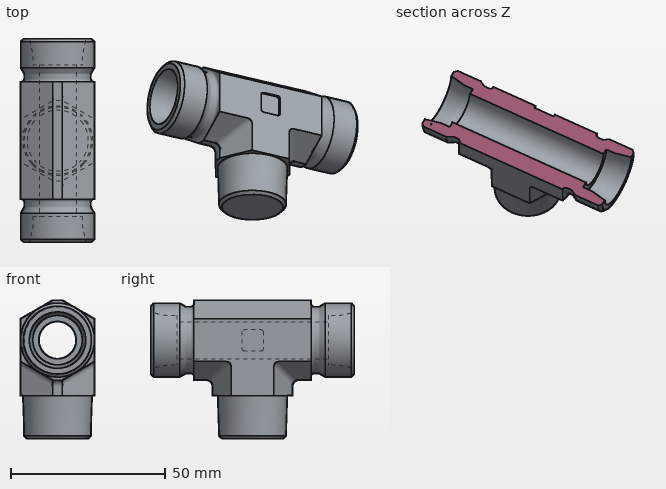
import cadquery as cq
import math

HEX_FLATS = 24.0
CORNER_FLAT = 3.0
RUN_LENGTH = 38.0
BRANCH_BODY_DEPTH = 18.0
CROTCH_RADIUS = 2.0
TOLERANCE = 1e-6

TIP_Y = 33.0
THREAD_DIAMETER = 24.0
THREAD_LENGTH = 9.4
EDGE_CHAMFER = 1.0
UNDERCUT_DIAMETER = 21.7
RUNOUT_ANGLE = 30.0
RUNOUT_RADIUS = 0.8
SHOULDER_RADIUS = 1.0

BORE_DIAMETER = 12.0
SOCKET_DIAMETER = 16.0
SOCKET_DEPTH = 8.5
MOUTH_DIAMETER = 18.3
MOUTH_HALF_ANGLE = 12.0

STUD_TIP_DEPTH = 32.0
STUD_TOP_DIAMETER = 22.6
STUD_TAPER = 1 / 16

RECESS_SIZE = 7.0
RECESS_CORNER_RADIUS = 1.0
RECESS_DEPTH = 0.8

HEX_TILT = math.radians(30)
half_flats = HEX_FLATS / 2
half_corner_flat = CORNER_FLAT / 2
side_edge = (half_flats - half_flats * math.sin(HEX_TILT)) / math.cos(HEX_TILT)
corner_height = (half_flats - half_corner_flat * math.sin(HEX_TILT)) / math.cos(HEX_TILT)


def hex_section(plane):
    """Hexagon with flats at +/-X and its two remaining corners truncated."""
    return cq.Workplane(plane).polyline([
        (half_flats, -side_edge),
        (half_flats, side_edge),
        (half_corner_flat, corner_height),
        (-half_corner_flat, corner_height),
        (-half_flats, side_edge),
        (-half_flats, -side_edge),
        (-half_corner_flat, -corner_height),
        (half_corner_flat, -corner_height),
    ]).close()


def on_mitre_plane(point):
    """True below the run axis where the run and branch sections cross at 45 degrees."""
    return abs(abs(point.y) + point.z) < TOLERANCE


def make_body():
    run = hex_section("XZ").extrude(RUN_LENGTH / 2, both=True)
    branch = hex_section("XY").extrude(-BRANCH_BODY_DEPTH)
    body = run.union(branch)
    crotch_edges = [
        edge for edge in body.edges().vals()
        if on_mitre_plane(edge.startPoint()) and on_mitre_plane(edge.endPoint())
    ]
    return body.newObject(crotch_edges).fillet(CROTCH_RADIUS)


def make_run_end():
    """Threaded end on the +Y side, with its run-out and undercut."""
    shoulder_y = RUN_LENGTH / 2
    thread_radius = THREAD_DIAMETER / 2
    undercut_radius = UNDERCUT_DIAMETER / 2
    slope = math.radians(RUNOUT_ANGLE)
    runout_start = TIP_Y - THREAD_LENGTH
    runout_end = runout_start - (thread_radius - undercut_radius) / math.tan(slope)
    tangent = RUNOUT_RADIUS * math.tan(slope / 2)
    arc_start = (undercut_radius, runout_end - tangent)
    arc_end = (undercut_radius + tangent * math.sin(slope), runout_end + tangent * math.cos(slope))
    return (
        cq.Workplane("XY")
        .moveTo(0, shoulder_y)
        .lineTo(undercut_radius + SHOULDER_RADIUS, shoulder_y)
        .radiusArc((undercut_radius, shoulder_y + SHOULDER_RADIUS), SHOULDER_RADIUS)
        .lineTo(*arc_start)
        .radiusArc(arc_end, RUNOUT_RADIUS)
        .lineTo(thread_radius, runout_start)
        .lineTo(thread_radius, TIP_Y - EDGE_CHAMFER)
        .lineTo(thread_radius - EDGE_CHAMFER, TIP_Y)
        .lineTo(0, TIP_Y)
        .close()
        .revolve(360, (0, 0), (0, 1))
    )


def make_run_cavity():
    """Bore from the centre to the +Y tip, widening into the tube socket."""
    bore_radius = BORE_DIAMETER / 2
    socket_radius = SOCKET_DIAMETER / 2
    mouth_radius = MOUTH_DIAMETER / 2
    cone_depth = (mouth_radius - socket_radius) / math.tan(math.radians(MOUTH_HALF_ANGLE))
    return (
        cq.Workplane("XY")
        .polyline([
            (0, 0),
            (bore_radius, 0),
            (bore_radius, TIP_Y - SOCKET_DEPTH),
            (socket_radius, TIP_Y - SOCKET_DEPTH),
            (socket_radius, TIP_Y - cone_depth),
            (mouth_radius, TIP_Y),
            (0, TIP_Y),
        ])
        .close()
        .revolve(360, (0, 0), (0, 1))
    )


def make_stud():
    """Solid tapered stud below the branch, chamfered at its tip."""
    top_radius = STUD_TOP_DIAMETER / 2
    taper_length = STUD_TIP_DEPTH - EDGE_CHAMFER - BRANCH_BODY_DEPTH
    chamfer_radius = top_radius - STUD_TAPER * taper_length / 2
    return (
        cq.Workplane("YZ")
        .polyline([
            (0, -BRANCH_BODY_DEPTH),
            (top_radius, -BRANCH_BODY_DEPTH),
            (chamfer_radius, -STUD_TIP_DEPTH + EDGE_CHAMFER),
            (chamfer_radius - EDGE_CHAMFER, -STUD_TIP_DEPTH),
            (0, -STUD_TIP_DEPTH),
        ])
        .close()
        .revolve(360, (0, 0), (0, 1))
    )


def make_recess():
    return (
        cq.Workplane("YZ", origin=(-half_flats, 0, 0))
        .rect(RECESS_SIZE, RECESS_SIZE)
        .extrude(RECESS_DEPTH)
        .edges("|X")
        .fillet(RECESS_CORNER_RADIUS)
    )


run_end = make_run_end()
run_cavity = make_run_cavity()

result = (
    make_body()
    .union(make_stud())
    .union(run_end)
    .union(run_end.mirror("XZ"))
    .cut(run_cavity)
    .cut(run_cavity.mirror("XZ"))
    .cut(make_recess())
)